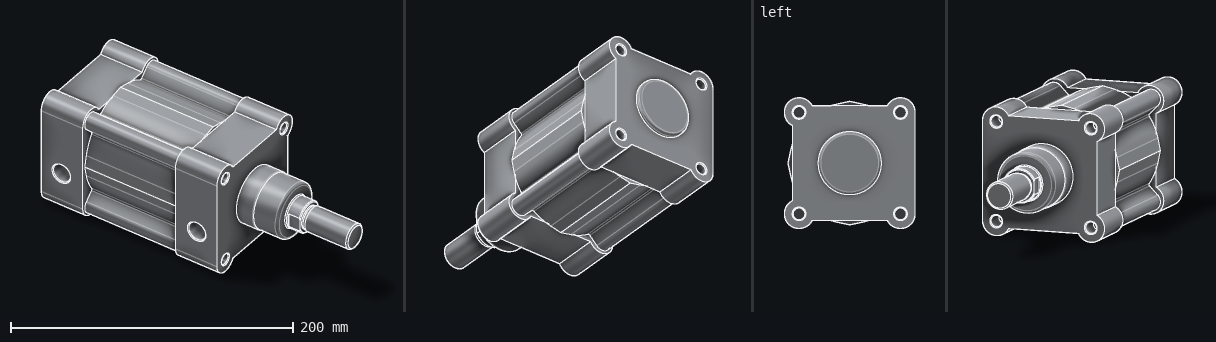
import cadquery as cq
import math


OVERALL_LENGTH = 243.8
REAR_BOSS_LENGTH = 4.0
CAP_LENGTH = 36.0
BARREL_LENGTH = 80.5
NECK_BASE_LENGTH = 14.6
NECK_LENGTH = 35.4
WIPER_LENGTH = 1.0

REAR_CAP_X = REAR_BOSS_LENGTH
BARREL_X = REAR_CAP_X + CAP_LENGTH
FRONT_CAP_X = BARREL_X + BARREL_LENGTH
NECK_X = FRONT_CAP_X + CAP_LENGTH
WIPER_X = NECK_X + NECK_LENGTH
ROD_X = WIPER_X + WIPER_LENGTH

CAP_WIDTH = 93.0
CAP_HALF_WIDTH = CAP_WIDTH / 2
CAP_HALF_FLAT = 40.7
SCREW_PITCH = 72.0
SCREW_OFFSET = SCREW_PITCH / 2
CAP_LOBE_RADIUS = CAP_HALF_WIDTH - SCREW_OFFSET
CORNERS = [(y, z) for y in (-1, 1) for z in (-1, 1)]

SCREW_HOLE_RADIUS = 4.1
SCREW_HOLE_DEPTH = 15.8
SCREW_CHAMFER = 0.7
PORT_RADIUS = 7.3
PORT_DEPTH = 19.5
PORT_Z = -12.5
PORT_FROM_OUTER_FACE = 17.5
PORT_CHAMFER = 0.7

BOSS_RADIUS = 22.5
BOSS_FILLET = 2.0
NECK_RADIUS = 22.0
NECK_BASE_FILLET = 0.7
NECK_FILLET = 2.2
WIPER_BASE_RADIUS = 13.2

BARREL_HALF_WIDTH = 44.0
TUBE_RADIUS = 43.0
TIE_LOBE_RADIUS = 6.8
TIE_LOBE_OFFSET = BARREL_HALF_WIDTH - TIE_LOBE_RADIUS
WEB_FILLET = 1.5

ROD_RADIUS = 12.5
ROD_SHOULDER_X = 203.8
ROD_SHOULDER_CHAMFER = 0.7
FLATS_X = 194.0
FLATS_WIDTH = 22.2
RELIEF_RADIUS = 9.3
RELIEF_END_X = 205.0
THREAD_X = 207.2
THREAD_RADIUS = 10.0
THREAD_CHAMFER = 1.2


def section_plane(x):
    """Plane across the axis at x, with local x = Y and local y = Z."""
    return cq.Workplane("YZ", origin=(x, 0, 0))


def revolved(points):
    """Solid of revolution about the X axis from (x, radius) points."""
    return cq.Workplane("XY").polyline(points).close().revolve(360, (0, 0, 0), (1, 0, 0))


def cap_block(x):
    """Cap block with lobed corners; its -Y side is flush with the lobes."""
    middle_width = SCREW_OFFSET + CAP_HALF_FLAT
    middle_y = (CAP_HALF_FLAT - SCREW_OFFSET) / 2
    middle = section_plane(x).center(middle_y, 0).rect(middle_width, 2 * CAP_HALF_FLAT).extrude(CAP_LENGTH)
    port_side = (
        section_plane(x)
        .center(-CAP_HALF_WIDTH / 2, 0)
        .rect(CAP_HALF_WIDTH, SCREW_PITCH)
        .extrude(CAP_LENGTH)
    )
    lobes = (
        section_plane(x)
        .rect(SCREW_PITCH, SCREW_PITCH, forConstruction=True)
        .vertices()
        .circle(CAP_LOBE_RADIUS)
        .extrude(CAP_LENGTH)
    )
    return middle.union(port_side).union(lobes).clean()


def screw_hole(face_x, inward, y, z):
    """Blind screw hole with a chamfered mouth; inward is +1 or -1 along X."""
    position = cq.Vector(face_x, y, z)
    direction = cq.Vector(inward, 0, 0)
    drill = cq.Solid.makeCylinder(SCREW_HOLE_RADIUS, SCREW_HOLE_DEPTH, position, direction)
    mouth_radius = SCREW_HOLE_RADIUS + SCREW_CHAMFER
    mouth = cq.Solid.makeCone(mouth_radius, SCREW_HOLE_RADIUS, SCREW_CHAMFER, position, direction)
    return drill.fuse(mouth)


def air_port(x):
    """Blind port with a chamfered mouth, drilled from the -Y side."""
    position = cq.Vector(x, -CAP_HALF_WIDTH, PORT_Z)
    direction = cq.Vector(0, 1, 0)
    drill = cq.Solid.makeCylinder(PORT_RADIUS, PORT_DEPTH, position, direction)
    mouth_radius = PORT_RADIUS + PORT_CHAMFER
    mouth = cq.Solid.makeCone(mouth_radius, PORT_RADIUS, PORT_CHAMFER, position, direction)
    return drill.fuse(mouth)


def end_cap(x, outer_face_x, inward):
    """Cap block with its air port and with screw holes in its outer face."""
    cap = cap_block(x).cut(cq.Workplane(air_port(outer_face_x + inward * PORT_FROM_OUTER_FACE)))
    for side_y, side_z in CORNERS:
        hole = screw_hole(outer_face_x, inward, side_y * SCREW_OFFSET, side_z * SCREW_OFFSET)
        cap = cap.cut(cq.Workplane(hole))
    return cap


def make_rear_cap():
    """Rear end cap with a short round boss."""
    boss = section_plane(0).circle(BOSS_RADIUS).extrude(REAR_BOSS_LENGTH)
    boss = boss.faces("<X").edges().fillet(BOSS_FILLET)
    return end_cap(REAR_CAP_X, REAR_CAP_X, 1).union(boss)


def make_front_cap():
    """Front end cap with a stepped neck and the conical wiper lip around the rod."""
    base = section_plane(NECK_X).circle(BOSS_RADIUS).extrude(NECK_BASE_LENGTH)
    base = base.faces(">X").edges().fillet(NECK_BASE_FILLET)
    neck = section_plane(NECK_X).circle(NECK_RADIUS).extrude(NECK_LENGTH)
    neck = neck.faces(">X").edges().fillet(NECK_FILLET)
    wiper = revolved([
        (WIPER_X, 0),
        (WIPER_X, WIPER_BASE_RADIUS),
        (ROD_X, ROD_RADIUS),
        (ROD_X, 0),
    ])
    return end_cap(FRONT_CAP_X, NECK_X, -1).union(base).union(neck).union(wiper)


def barrel_tube():
    """Round tube with a shallow tent of two tangent planes on each of its four sides."""
    tube = section_plane(BARREL_X).circle(TUBE_RADIUS).extrude(BARREL_LENGTH)
    tangent_y = TUBE_RADIUS ** 2 / BARREL_HALF_WIDTH
    tangent_z = math.sqrt(TUBE_RADIUS ** 2 - tangent_y ** 2)
    tent_outline = [(0, 0), (tangent_y, -tangent_z), (BARREL_HALF_WIDTH, 0), (tangent_y, tangent_z)]
    tent = section_plane(BARREL_X).polyline(tent_outline).close().extrude(BARREL_LENGTH)
    for quarter in range(4):
        tube = tube.union(tent.rotate((0, 0, 0), (1, 0, 0), 90 * quarter))
    return tube


def tie_lobe(side_y, side_z):
    """Corner lobe joined to the tube by a diagonal web as wide as the lobe."""
    lobe_y = side_y * TIE_LOBE_OFFSET
    lobe_z = side_z * TIE_LOBE_OFFSET
    reach = math.hypot(lobe_y, lobe_z)
    angle = math.degrees(math.atan2(lobe_z, lobe_y))
    lobe = section_plane(BARREL_X).center(lobe_y, lobe_z).circle(TIE_LOBE_RADIUS).extrude(BARREL_LENGTH)
    web = section_plane(BARREL_X).center(reach / 2, 0).rect(reach, 2 * TIE_LOBE_RADIUS).extrude(BARREL_LENGTH)
    return lobe.union(web.rotate((0, 0, 0), (1, 0, 0), angle))


def make_barrel():
    """Barrel profile with a tie rod lobe at each corner."""
    barrel = barrel_tube()
    for side_y, side_z in CORNERS:
        barrel = barrel.union(tie_lobe(side_y, side_z))
    web_angle = math.asin(TIE_LOBE_RADIUS / TUBE_RADIUS)
    middle_x = BARREL_X + BARREL_LENGTH / 2
    for quarter in range(4):
        for side in (-1, 1):
            angle = math.pi / 4 + quarter * math.pi / 2 + side * web_angle
            corner = (middle_x, TUBE_RADIUS * math.cos(angle), TUBE_RADIUS * math.sin(angle))
            barrel = barrel.edges(cq.selectors.NearestToPointSelector(corner)).fillet(WEB_FILLET)
    return barrel


def make_rod():
    """Rod end with wrench flats, thread relief and thread, seated on the wiper lip."""
    rod = revolved([
        (ROD_X, 0),
        (ROD_X, ROD_RADIUS),
        (ROD_SHOULDER_X - ROD_SHOULDER_CHAMFER, ROD_RADIUS),
        (ROD_SHOULDER_X, ROD_RADIUS - ROD_SHOULDER_CHAMFER),
        (ROD_SHOULDER_X, RELIEF_RADIUS),
        (RELIEF_END_X, RELIEF_RADIUS),
        (THREAD_X, THREAD_RADIUS),
        (OVERALL_LENGTH - THREAD_CHAMFER, THREAD_RADIUS),
        (OVERALL_LENGTH, THREAD_RADIUS - THREAD_CHAMFER),
        (OVERALL_LENGTH, 0),
    ])
    flat_length = ROD_SHOULDER_X - FLATS_X
    flat_depth = ROD_RADIUS - FLATS_WIDTH / 2
    flat_y = FLATS_WIDTH / 2 + flat_depth / 2
    for side in (-1, 1):
        flat = (
            section_plane(FLATS_X)
            .center(side * flat_y, 0)
            .rect(flat_depth, 2 * ROD_RADIUS)
            .extrude(flat_length)
        )
        rod = rod.cut(flat)
    return rod


rear_cap = make_rear_cap()
barrel = make_barrel()
front_cap = make_front_cap()
rod = make_rod()

result = cq.Compound.makeCompound([rear_cap.val(), barrel.val(), front_cap.val(), rod.val()])